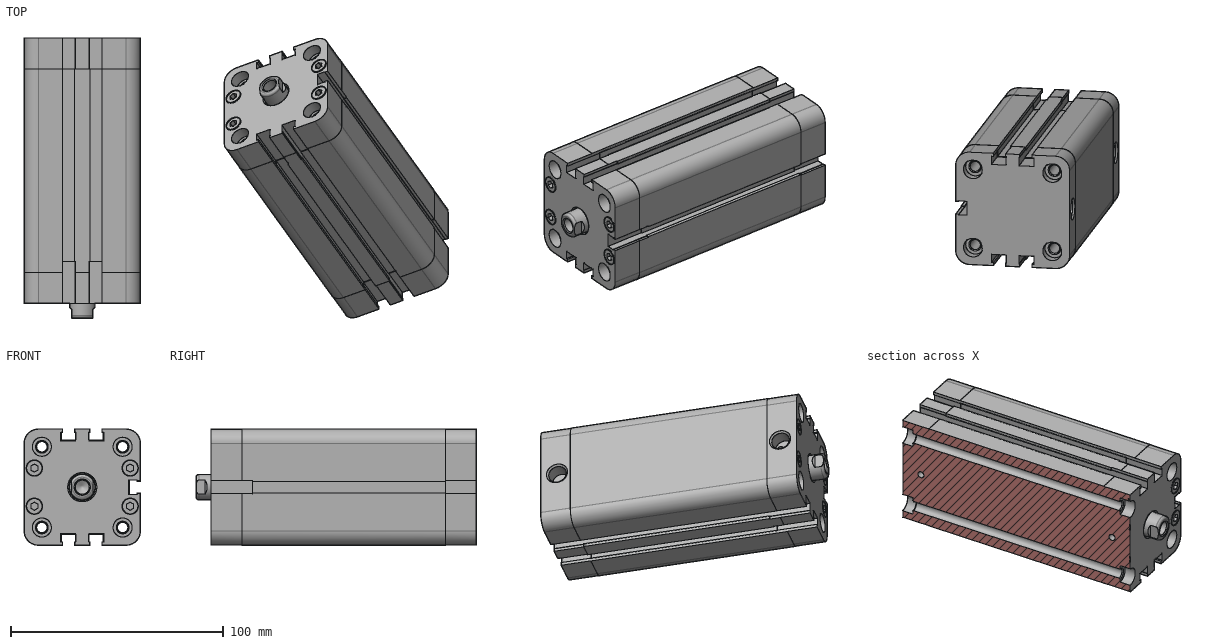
import cadquery as cq
import math

total_length = 132.0
side = 54.8
half_side = side / 2
corner_radius = 6.7
cap_inset = 0.07

rod_reach = 7.0
body_length = total_length - rod_reach
cap_length = 14.5

front_y = -body_length / 2
back_y = body_length / 2
tip_y = front_y - rod_reach

slot_offset = 6.5
lip_depth = 1.6
tube_mouth = 5.5
tube_chamber = 6.7
tube_slot_depth = 5.1
cap_slot_depth = 5.5
cap_mouth_inner = 3.3
cap_mouth_outer = slot_offset + tube_mouth / 2
cap_chamber_inner = slot_offset - tube_chamber / 2
cap_chamber_outer = 10.2
side_cap_mouth = 6.2
slot_runout = 5.1

mount_offset = 19.0
mount_bore = 4.9
mount_counterbore = 9.0
mount_counterbore_depth = 5.5
mount_chamfer_diameter = 6.0

screw_x = 22.6
screw_z = 9.0
screw_recess = 7.7
screw_head_top = 7.3
screw_edge_depth = 0.5
hex_flats = 3.3
hex_depth = 2.6
hex_turn = 30.0

rod_diameter = 12.0
rod_edge_radius = 1.3
rod_gland = 12.5
rod_gland_mouth = 13.7
rod_gland_depth = 4.0
rod_flats = 10.0
rod_flat_length = 4.2
rod_thread = 6.6
rod_thread_mouth = 7.7
rod_thread_depth = 11.9
drill_point_angle = 118.0

port_inset = 8.0
port_diameter = 8.6
port_mouth = 10.4
port_depth = 7.9
passage_diameter = 3.0
passage_shift = 2.0
passage_depth = 4.0


def turned(profile, x, y, z, inward):
    """Revolve (radius, depth) points about an axis through (x, y, z) along inward."""
    points = [(0, profile[0][1])] + profile
    if profile[-1][0] > 0:
        points.append((0, profile[-1][1]))
    axis = cq.Vector(*inward)
    radial = cq.Vector(0, 0, 1)
    plane = cq.Plane(origin=(x, y, z), xDir=radial, normal=radial.cross(axis))
    return cq.Workplane(plane).polyline(points).close().revolve(360, (0, 0, 0), (0, 1, 0))


def along_y(start, end):
    """Sketch plane in X and Z at start, with the signed extrusion that reaches end."""
    return cq.Workplane("XZ", origin=(0, start, 0)), start - end


def slot(mouth, chamber, depth, start, end):
    """T-slot in the top face; mouth and chamber are (low, high) X limits."""
    sketch, reach = along_y(start, end)
    outline = [
        (mouth[0], half_side),
        (mouth[1], half_side),
        (mouth[1], half_side - lip_depth),
        (chamber[1], half_side - lip_depth),
        (chamber[1], half_side - depth),
        (chamber[0], half_side - depth),
        (chamber[0], half_side - lip_depth),
        (mouth[0], half_side - lip_depth),
    ]
    return sketch.polyline(outline).close().extrude(reach)


def centred(middle, width):
    return (middle - width / 2, middle + width / 2)


def stepped_slot(middle, cap_mouth, cap_chamber):
    """Slot along the whole body: wide through both caps, narrower in the tube."""
    tube_start = front_y + cap_length + slot_runout
    tube_end = back_y - cap_length
    front = slot(cap_mouth, cap_chamber, cap_slot_depth, front_y, tube_start)
    tube = slot(
        centred(middle, tube_mouth), centred(middle, tube_chamber), tube_slot_depth, tube_start, tube_end
    )
    back = slot(cap_mouth, cap_chamber, cap_slot_depth, tube_end, back_y)
    return front.union(tube).union(back)


def rounded_block(width, start, end):
    sketch, reach = along_y(start, end)
    return sketch.rect(width, width).extrude(reach).edges("|Y").fillet(corner_radius)


def make_body():
    """Tube between two end caps that are a trace smaller in outline."""
    cap_side = side - 2 * cap_inset
    tube_start = front_y + cap_length
    tube_end = back_y - cap_length
    front_cap = rounded_block(cap_side, front_y, tube_start)
    tube = rounded_block(side, tube_start, tube_end)
    back_cap = rounded_block(cap_side, tube_end, back_y)
    return front_cap.union(tube).union(back_cap)


def cut_slots(body):
    off_centre = stepped_slot(
        slot_offset, (cap_mouth_inner, cap_mouth_outer), (cap_chamber_inner, cap_chamber_outer)
    )
    pair = off_centre.union(off_centre.mirror("YZ"))
    on_centre = stepped_slot(0, centred(0, side_cap_mouth), centred(0, tube_chamber))
    side_slot = on_centre.rotate((0, 0, 0), (0, 1, 0), 90)
    return body.cut(pair).cut(pair.mirror("XY")).cut(side_slot)


def cut_mounting_holes(body):
    chamfer = (mount_chamfer_diameter - mount_bore) / 2
    profile = [
        (mount_counterbore / 2, 0),
        (mount_counterbore / 2, mount_counterbore_depth),
        (mount_chamfer_diameter / 2, mount_counterbore_depth),
        (mount_bore / 2, mount_counterbore_depth + chamfer),
        (mount_bore / 2, body_length / 2),
    ]
    for x in (-mount_offset, mount_offset):
        for z in (-mount_offset, mount_offset):
            body = body.cut(turned(profile, x, front_y, z, (0, 1, 0)))
            body = body.cut(turned(profile, x, back_y, z, (0, -1, 0)))
    return body


def cut_screws(body):
    """Leave each cap screw as a bevelled head with a hexagon socket."""
    hex_corners = hex_flats / math.cos(math.pi / 6)
    head = [(screw_head_top / 2, 0), (screw_recess / 2, screw_edge_depth)]
    recess = [(screw_recess / 2, 0), (screw_recess / 2, screw_edge_depth)]
    for x in (-screw_x, screw_x):
        for z in (-screw_z, screw_z):
            groove = turned(recess, x, front_y, z, (0, 1, 0))
            groove = groove.cut(turned(head, x, front_y, z, (0, 1, 0)))
            sketch, reach = along_y(front_y, front_y + hex_depth)
            socket = sketch.polygon(6, hex_corners).extrude(reach)
            socket = socket.rotate((0, 0, 0), (0, 1, 0), hex_turn).translate((x, 0, z))
            body = body.cut(groove).cut(socket)
    return body


def cut_ports(body):
    chamfer = (port_mouth - port_diameter) / 2
    port = [
        (port_mouth / 2, 0),
        (port_diameter / 2, chamfer),
        (port_diameter / 2, port_depth),
    ]
    passage = [(passage_diameter / 2, port_depth), (passage_diameter / 2, port_depth + passage_depth)]
    for end_y, toward_tube in ((front_y, 1), (back_y, -1)):
        port_y = end_y + toward_tube * port_inset
        passage_y = port_y + toward_tube * passage_shift
        body = body.cut(turned(port, -half_side, port_y, 0, (1, 0, 0)))
        body = body.cut(turned(passage, -half_side, passage_y, 0, (1, 0, 0)))
    return body


def cut_rod_gland(body):
    chamfer = (rod_gland_mouth - rod_gland) / 2
    profile = [
        (rod_gland_mouth / 2, 0),
        (rod_gland / 2, chamfer),
        (rod_gland / 2, rod_gland_depth),
    ]
    return body.cut(turned(profile, 0, front_y, 0, (0, 1, 0)))


def make_rod():
    sketch, reach = along_y(tip_y, front_y + rod_gland_depth)
    rod = sketch.circle(rod_diameter / 2).extrude(reach).faces("<Y").edges().fillet(rod_edge_radius)

    flat_depth = (rod_diameter - rod_flats) / 2
    flat_end = tip_y + rod_flat_length
    clear_of_rod = rod_flats / 2 + 2 * flat_depth
    flat_outline = [
        (rod_flats / 2, tip_y),
        (rod_flats / 2, flat_end),
        (clear_of_rod, flat_end + 2 * flat_depth),
        (clear_of_rod, tip_y),
    ]
    flat = cq.Workplane("XY").polyline(flat_outline).close().extrude(rod_diameter / 2, both=True)
    return rod.cut(flat).cut(flat.mirror("YZ"))


def cut_rod_hole(cylinder):
    """Threaded hole with a chamfered mouth and a drill point."""
    chamfer = (rod_thread_mouth - rod_thread) / 2
    point_length = rod_thread / 2 / math.tan(math.radians(drill_point_angle / 2))
    profile = [
        (rod_thread_mouth / 2, 0),
        (rod_thread / 2, chamfer),
        (rod_thread / 2, rod_thread_depth),
        (0, rod_thread_depth + point_length),
    ]
    return cylinder.cut(turned(profile, 0, tip_y, 0, (0, 1, 0)))


body = make_body()
body = cut_slots(body)
body = cut_mounting_holes(body)
body = cut_screws(body)
body = cut_ports(body)
body = cut_rod_gland(body)
result = cut_rod_hole(body.union(make_rod()))